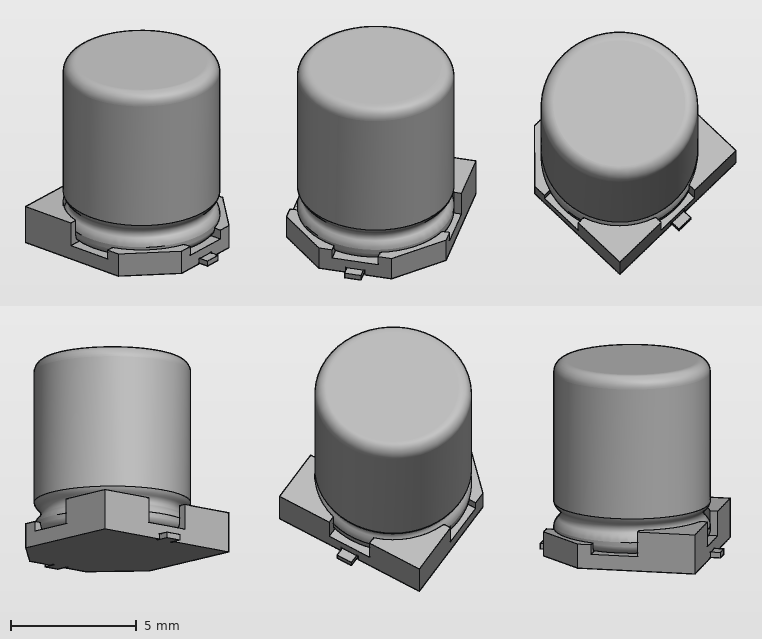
import cadquery as cq

base_side = 6.57
base_tall = 1.6
base_low = 0.99
corner_cut = 1.79
notch_width = 1.89
notch_floor = 0.6

total_height = 7.85
can_diameter = 6.25
can_radius = can_diameter / 2
top_round = 0.495
bottom_round = 0.345
can_bottom = notch_floor

rib_bottom_z = can_bottom + bottom_round
rib_top_z = rib_bottom_z + 0.16
waist_lower_z = 1.4
waist_z = 1.6
waist_upper_z = 1.81
shoulder_z = 2.07
waist_radius = 2.86
waist_edge_radius = 2.95
bulge_radius = 3.07

terminal_span = 7.35
terminal_width = 0.675
terminal_thickness = 0.23
terminal_slot_width = 0.81
terminal_slot_depth = 0.16


def make_block(length_x, length_y, bottom_z, top_z, center_x=0):
    """Box between two heights, centred on Y."""
    plane = cq.Workplane("XY", origin=(center_x, 0, bottom_z))
    return plane.rect(length_x, length_y).extrude(top_z - bottom_z)


def make_can():
    """Round can: half profile with a rolled waist, turned about Z."""
    lower_bulge_z = (rib_top_z + waist_lower_z) / 2
    upper_bulge_z = (waist_upper_z + shoulder_z) / 2
    profile = (
        cq.Workplane("XZ")
        .moveTo(0, can_bottom)
        .lineTo(can_radius - bottom_round, can_bottom)
        .radiusArc((can_radius, rib_bottom_z), -bottom_round)
        .lineTo(can_radius, rib_top_z)
        .threePointArc((bulge_radius, lower_bulge_z), (waist_edge_radius, waist_lower_z))
        .threePointArc((waist_radius, waist_z), (waist_edge_radius, waist_upper_z))
        .threePointArc((bulge_radius, upper_bulge_z), (can_radius, shoulder_z))
        .lineTo(can_radius, total_height - top_round)
        .radiusArc((can_radius - top_round, total_height), -top_round)
        .lineTo(0, total_height)
        .close()
    )
    return profile.revolve(360, (0, 0, 0), (0, 1, 0))


def make_base():
    """Square base with two cut corners, stepped down on the +X half."""
    base = make_block(base_side, base_side, 0, base_tall)
    base = base.edges("|Z and >X").chamfer(corner_cut)
    base = base.cut(make_block(base_side / 2, base_side, base_low, base_tall, base_side / 4))

    well = (
        cq.Workplane("XY", origin=(0, 0, rib_bottom_z))
        .circle(can_radius)
        .extrude(base_tall - rib_bottom_z)
    )
    base = base.cut(well)

    base = base.cut(make_block(base_side, notch_width, notch_floor, base_tall))
    base = base.cut(make_block(notch_width, base_side, notch_floor, base_tall))

    for side in (-1, 1):
        slot_x = side * (base_side - terminal_slot_depth) / 2
        slot = make_block(terminal_slot_depth, terminal_slot_width, 0, terminal_thickness, slot_x)
        base = base.cut(slot)
    return base


def make_terminals():
    """Flat strip under the base that sticks out at both ends."""
    return make_block(terminal_span, terminal_width, 0, terminal_thickness)


result = make_base().union(make_can()).union(make_terminals())